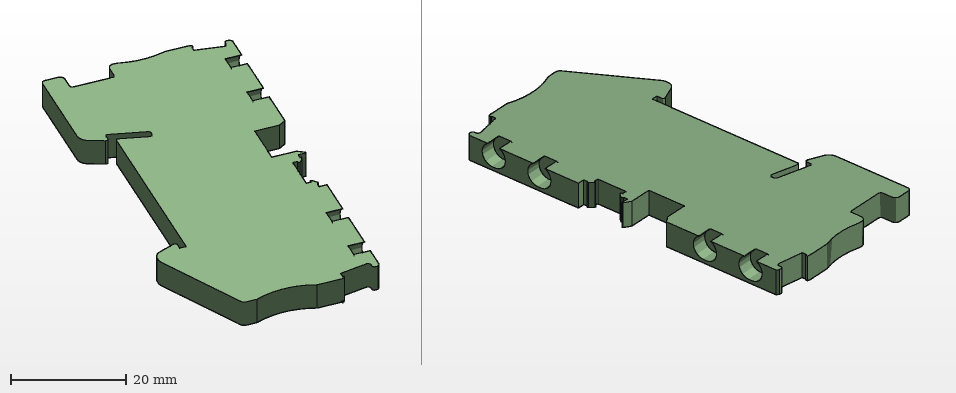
import cadquery as cq
import math

length = 72.2
height = 35.2
thickness = 5.1
body_right = 72.0
mid_x = length / 2
foot_corner_radius = 0.7

lip_inset = 1.1
lip_drop = 1.4
lip_chamfer = 0.4
lip_underside_radius = 0.4
neck_radius = 0.6
neck_top_inset = 2.5
neck_bottom_inset = 1.5
neck_bottom_y = 28.0
shoulder_y = 28.2
shoulder_width = 0.6
shoulder_bevel = (0.15, 0.5)

bump_y = 27.7
bump_half_height = 0.3
bump_thickness = 0.2

recess_x = 3.55
recess_bottom_y = 4.1
recess_top_y = 12.4
recess_radius = 0.6
foot_top_radius = 0.95
recess_top_radius = 1.1
recess_inner_radius = 0.4

rail_y = 5.9
claw_y = 4.7
claw_nose_y = 4.1
claw_radius = 0.35
left_heel_radius = 2.1
right_heel_radius = 1.7
left_claw_x = 20.0
left_claw_bottom_x = 18.2
right_claw_x = 51.9
right_claw_bottom_x = 53.5
rail_right_x = 53.35
slot_start_x = 18.35
slot_top_y = 12.35
slot_width = 1.5
slot_lean = math.tan(math.radians(15))
slot_end_radius = 0.615

ramp_start_x = 55.6
ramp_end_y = 9.2
ramp_corner_radius = 1.1
ramp_start_radius = 1.9

left_grip = (14.2, 23.0, 0.65)
right_grip = (11.8, left_grip[1], 1.1)
grip_blend_radius = 2.9

marker_left = 27.0
marker_right = 35.0
marker_floor_y = 29.25
marker_flare = 0.9
marker_flare_drop = 1.4

latch_mid_x = 41.0
latch_half_width = 4.9
latch_ledge_y = 33.8
latch_floor_y = 32.05
latch_pocket_half = 3.2
hook_top_y = 34.0
hook_tip_y = 33.3
hook_under_y = 32.9
hook_tip_half = 2.8
hook_crest_half = (4.05, 3.7)

entry_offsets = (18.6, 28.9)
entry_depth = 3.1
entry_radius = 2.3
entry_flat = 0.6
entry_mouth_width = 2.6


def rounded_outline(corners):
    """Closed wire through (x, y, radius) corners; a radius of 0 leaves the corner sharp."""
    path = None
    for i, (x, y, radius) in enumerate(corners):
        before = cq.Vector(*corners[i - 1][:2])
        after = cq.Vector(*corners[(i + 1) % len(corners)][:2])
        corner = cq.Vector(x, y)
        to_before = (before - corner).normalized()
        to_after = (after - corner).normalized()
        half_angle = to_before.getAngle(to_after) / 2
        setback = radius / math.tan(half_angle)
        start = corner + to_before * setback
        if path is None:
            path = cq.Workplane().moveTo(start.x, start.y)
        else:
            path = path.lineTo(start.x, start.y)
        if radius > 0:
            bisector = (to_before + to_after).normalized()
            middle = corner + bisector * (radius / math.sin(half_angle) - radius)
            end = corner + to_after * setback
            path = path.threePointArc((middle.x, middle.y), (end.x, end.y))
    return path.close()


def upper_corner(edge_x, inward):
    """Shoulder, neck and lip at one end, listed from the flank up to the top edge."""
    profile = [
        (0, shoulder_y - shoulder_bevel[1], 0),
        (shoulder_bevel[0], shoulder_y, 0),
        (shoulder_width, shoulder_y, 0),
        (shoulder_width, neck_bottom_y, 0),
        (neck_bottom_inset, neck_bottom_y, 0),
        (neck_top_inset, height - lip_drop, neck_radius),
        (lip_inset, height - lip_drop, lip_underside_radius),
        (lip_inset, height - lip_chamfer, 0),
        (lip_inset + lip_chamfer, height, 0),
    ]
    return [(edge_x + inward * inset, y, radius) for inset, y, radius in profile]


def plate():
    left_foot = [
        (0, recess_top_y, recess_top_radius),
        (recess_x, recess_top_y, recess_inner_radius),
        (recess_x, recess_bottom_y, recess_radius),
        (0, recess_bottom_y, foot_top_radius),
        (0, 0, foot_corner_radius),
        (left_claw_bottom_x, 0, left_heel_radius),
        (left_claw_x, claw_nose_y, 0),
        (left_claw_x, claw_y, claw_radius),
    ]
    slot_end_x = slot_start_x + (slot_top_y - claw_y) * slot_lean
    slot_rail_x = slot_start_x + (rail_y - claw_y) * slot_lean + slot_width
    slot = [
        (slot_start_x, claw_y, claw_radius),
        (slot_end_x, slot_top_y, slot_end_radius),
        (slot_end_x + slot_width, slot_top_y, slot_end_radius),
        (slot_rail_x, rail_y, claw_radius),
    ]
    right_foot = [
        (rail_right_x, rail_y, 0),
        (rail_right_x, claw_y, 0),
        (right_claw_x, claw_y, claw_radius),
        (right_claw_x, claw_nose_y, 0),
        (right_claw_bottom_x, 0, right_heel_radius),
        (ramp_start_x, 0, ramp_start_radius),
        (body_right, ramp_end_y, ramp_corner_radius),
    ]
    right_corner = upper_corner(body_right, -1)
    left_corner = upper_corner(0, 1)[::-1]
    corners = left_foot + slot + right_foot + right_corner + left_corner
    return rounded_outline(corners).extrude(thickness)


def locating_bump():
    return (
        cq.Workplane()
        .moveTo(body_right, bump_y - bump_half_height)
        .lineTo(length, bump_y)
        .lineTo(body_right, bump_y + bump_half_height)
        .lineTo(body_right - shoulder_width, bump_y)
        .close()
        .extrude(bump_thickness)
    )


def grip(edge_x, inward, bottom_y, top_y, depth):
    """Cylinder whose arc bites into a flank between two heights."""
    half_chord = (top_y - bottom_y) / 2
    radius = (half_chord**2 + depth**2) / (2 * depth)
    center = (edge_x + inward * (depth - radius), (bottom_y + top_y) / 2)
    return cq.Workplane().center(*center).circle(radius).extrude(thickness)


def marker_notch():
    points = [
        (marker_left - marker_flare, height),
        (marker_left, height - marker_flare_drop),
        (marker_left, marker_floor_y),
        (marker_right, marker_floor_y),
        (marker_right, height - marker_flare_drop),
        (marker_right + marker_flare, height),
    ]
    return cq.Workplane().polyline(points).close().extrude(thickness)


def latch_recess():
    half = [
        (latch_half_width, height),
        (latch_half_width, latch_ledge_y),
        (hook_crest_half[0], latch_ledge_y),
        (hook_crest_half[0], hook_top_y),
        (hook_crest_half[1], hook_top_y),
        (hook_tip_half, hook_tip_y),
        (hook_tip_half, hook_under_y),
        (latch_pocket_half, hook_under_y),
        (latch_pocket_half, latch_floor_y),
    ]
    left = [(latch_mid_x - x, y) for x, y in half]
    right = [(latch_mid_x + x, y) for x, y in reversed(half)]
    return cq.Workplane().polyline(left + right).close().extrude(thickness)


def wire_entry(x):
    mouth_half = (entry_mouth_width - entry_flat) / 2
    axis_z = thickness - math.sqrt(entry_radius**2 - mouth_half**2)
    return (
        cq.Workplane("XZ", origin=(x, height, axis_z))
        .slot2D(entry_flat + 2 * entry_radius, 2 * entry_radius)
        .extrude(entry_depth)
    )


result = plate().union(locating_bump())
result = result.cut(grip(0, 1, *left_grip)).cut(grip(body_right, -1, *right_grip))
for end_y in left_grip[:2]:
    grip_end = cq.NearestToPointSelector((0, end_y, thickness / 2))
    result = result.edges("|Z").edges(grip_end).fillet(grip_blend_radius)
result = result.cut(marker_notch()).cut(latch_recess())
for offset in entry_offsets:
    for side in (-1, 1):
        result = result.cut(wire_entry(mid_x + side * offset))